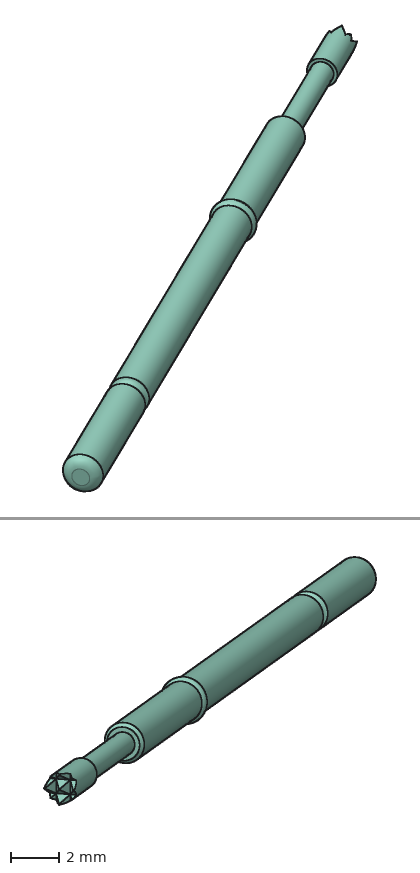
import cadquery as cq
import math

total_length = 38.7

barrel_radius = 0.87
barrel_top = 30.4
barrel_chamfer = 0.15

tip_radius = 0.4
nose_radius = 0.5
nose_height = nose_radius - math.sqrt(nose_radius**2 - (barrel_radius - tip_radius) ** 2)

ring_radius = 1.0
ring_center = 22.6
ring_width = 0.45

groove_center = 6.9
groove_width = 0.58
groove_depth = 0.25

plunger_radius = 0.5
head_radius = 0.65
head_length = 2.95

crown_depth = 0.55
crown_pitch = 0.6


def rod(radius, start, end):
    """Solid cylinder on the Y axis between two heights."""
    return cq.Workplane("XZ", origin=(0, start, 0)).circle(radius).extrude(start - end)


def make_barrel():
    return (
        cq.Workplane("XY")
        .moveTo(0, 0)
        .lineTo(tip_radius, 0)
        .tangentArcPoint((barrel_radius, nose_height), relative=False)
        .lineTo(barrel_radius, barrel_top - barrel_chamfer)
        .lineTo(barrel_radius - barrel_chamfer, barrel_top)
        .lineTo(0, barrel_top)
        .close()
        .revolve(360, (0, 0, 0), (0, 1, 0))
    )


def make_band(center, width, crest_radius):
    """Ring lens: an arc on the barrel surface that crests at crest_radius, spun about Y."""
    return (
        cq.Workplane("XY")
        .moveTo(barrel_radius, center - width / 2)
        .threePointArc((crest_radius, center), (barrel_radius, center + width / 2))
        .close()
        .revolve(360, (0, 0, 0), (0, 1, 0))
    )


def make_plunger():
    stem = rod(plunger_radius, barrel_top, total_length)
    head = rod(head_radius, total_length - head_length, total_length)
    return stem.union(head)


def make_crown_cut(offset):
    """V-shaped cutter running along Z, centred at X = offset."""
    half_width = crown_pitch / 2
    return (
        cq.Workplane("XY")
        .moveTo(offset - half_width, total_length)
        .lineTo(offset, total_length - crown_depth)
        .lineTo(offset + half_width, total_length)
        .close()
        .extrude(2 * head_radius, both=True)
    )


ring = rod(barrel_radius, ring_center - ring_width / 2, ring_center + ring_width / 2).union(
    make_band(ring_center, ring_width, ring_radius)
)
groove = make_band(groove_center, groove_width, barrel_radius - groove_depth)

result = make_barrel().union(ring).cut(groove).union(make_plunger())
for offset in (-crown_pitch / 2, crown_pitch / 2):
    cutter = make_crown_cut(offset)
    result = result.cut(cutter)
    result = result.cut(cutter.rotate((0, 0, 0), (0, 1, 0), 90))